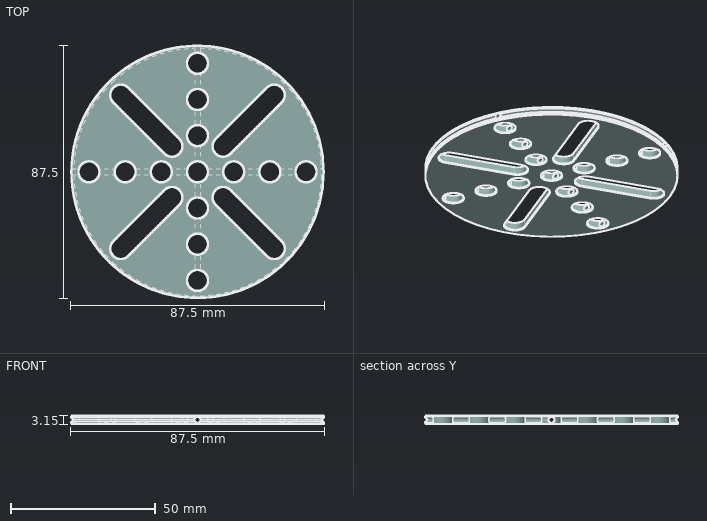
import cadquery as cq

plate_diameter = 87.5
plate_radius = plate_diameter / 2
thickness = 3.15
half_thickness = thickness / 2
edge_chamfer = 0.3

groove_depth = 0.9
groove_width = 1.5
groove_half_width = groove_width / 2

bore_diameter = 7.0
pitch = 12.5
holes_per_arm = 3
slot_inner_radius = pitch
slot_outer_radius = holes_per_arm * pitch
slot_angles = (45, 135, 225, 315)

cross_hole_diameter = 2.0
cross_hole_angles = (0, 90)
drill_overshoot = 0.9
drill_length = plate_diameter + 2 * drill_overshoot


def turned(body, angle):
    """Turn a body about the plate axis."""
    return body.rotate((0, 0, 0), (0, 0, 1), angle)


def grooved_disc():
    """Revolve a ring section with the V-groove; the centre bore is its inner wall."""
    return (
        cq.Workplane("XZ")
        .moveTo(bore_diameter / 2, -half_thickness)
        .lineTo(plate_radius, -half_thickness)
        .lineTo(plate_radius, -groove_half_width)
        .lineTo(plate_radius - groove_depth, 0)
        .lineTo(plate_radius, groove_half_width)
        .lineTo(plate_radius, half_thickness)
        .lineTo(bore_diameter / 2, half_thickness)
        .close()
        .revolve(360, (0, 0, 0), (0, 1, 0))
    )


def through_cutter(outline):
    """Extrude a centred outline through the whole thickness."""
    return outline.extrude(thickness).translate((0, 0, -half_thickness))


def cut_bores(disc):
    """Cut the arms of round holes along X and Y."""
    centres = []
    for step in range(1, holes_per_arm + 1):
        distance = step * pitch
        centres += [(distance, 0), (-distance, 0), (0, distance), (0, -distance)]
    bores = through_cutter(cq.Workplane("XY").pushPoints(centres).circle(bore_diameter / 2))
    return disc.cut(bores)


def cut_slots(disc):
    """Cut one radial slot on each diagonal."""
    slot_length = slot_outer_radius - slot_inner_radius + bore_diameter
    slot_middle = (slot_inner_radius + slot_outer_radius) / 2
    slot = through_cutter(cq.Workplane("XY").center(slot_middle, 0).slot2D(slot_length, bore_diameter))
    for angle in slot_angles:
        disc = disc.cut(turned(slot, angle))
    return disc


def drill_cross_holes(disc):
    """Drill the thin holes along X and Y at mid thickness."""
    drill = (
        cq.Workplane("ZY")
        .workplane(offset=-drill_length / 2)
        .circle(cross_hole_diameter / 2)
        .extrude(drill_length)
    )
    for angle in cross_hole_angles:
        disc = disc.cut(turned(drill, angle))
    return disc


plate = cut_slots(cut_bores(grooved_disc()))
plate = plate.faces("<Z or >Z").edges().chamfer(edge_chamfer)
result = drill_cross_holes(plate)